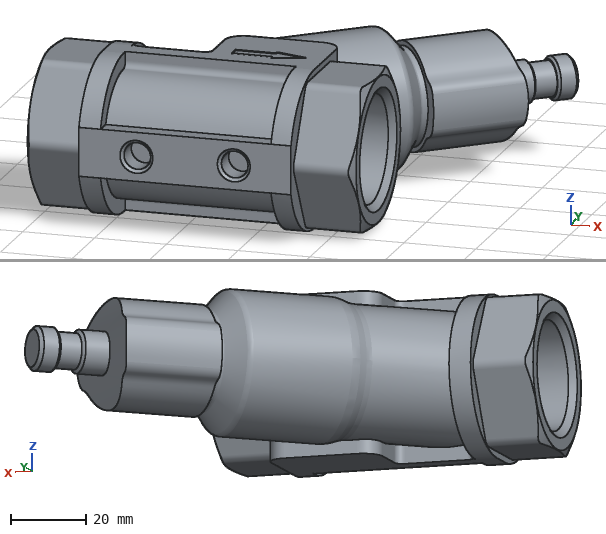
import cadquery as cq
import math


run_length = 91.5
hex_across_flats = 40.5
hex_corner_radius = 3.1
hex_face_radius = 20.1
hex_chamfer_angle = 25
bore_radius = 14.5
socket_radius = 14.9
socket_depth = 16
socket_mouth_radius = 16.8
socket_mouth_depth = 1.8

body_start = 15.9
body_end = 75.0
body_height = 44.0
body_half_height = body_height / 2
lower_centre_y = -4.3
rail_top_y = 3.0
foot_y = -25.3
foot_half_height = 6.8
inlet_flange_width = 6.0
outlet_flange_width = 5.5

recess_start = body_start + inlet_flange_width
recess_end = body_end - outlet_flange_width
recess_wall_y = -2.8
recess_floor_radius = 17.6
recess_fillet = 1.8

plate_start = 43.9
plate_top_y = 20.8
plate_corner_radius = 5.3
plate_root_fillet = 2.2
arrow_tail_x = 49.5
arrow_neck_x = 60.7
arrow_tip_x = 69.4
arrow_y = 5.9
arrow_shaft_half_width = 1.7
arrow_head_half_width = 2.7
arrow_depth = 0.2

hole_centres_x = (32.0, 59.1)
hole_radius = 3.7
hole_mouth_radius = 4.6
hole_depth = 7.4

branch_x = 26.4
branch_angle = 41
branch_root = -6.2
branch_radius = 18.3
bonnet_radius = 19.7
taper_start = 34.5
taper_start_fillet = 5.2
taper_end = 38.7
taper_end_fillet = 7.4
bonnet_end = 69.3
bonnet_edge_fillet = 2.0
neck_start = 74.6
neck_radius = 13.7
neck_root_fillet = 0.7

knob_start = 76.5
knob_end = 104.1
knob_radius = 15.0
wing_radius = 17.4
wing_edge_fillet = 4.0
wing_root_fillet = 6.0
wing_edge_angle = 17
knob_dome_radius = 40.7

stem_radius = 5.9
stem_shoulder = 111
stem_shoulder_chamfer = 0.7
stem_neck_radius = 4.9
stem_head_start = 117.9
stem_head_radius = 6.0
stem_end = 124.1
stem_tip_chamfer = 1.0
stem_head_chamfer = 0.7


def along_x(start, length, sketch):
    """Extrude a YZ outline from start along +X; sketch draws it on the given workplane."""
    return sketch(cq.Workplane("YZ", origin=(start, 0, 0))).extrude(length)


def revolve_about_x(points):
    return cq.Workplane("XY").polyline(points).close().revolve(360, (0, 0, 0), (1, 0, 0))


def hex_run():
    """The two hexagonal ends, each reaching to the inner face of its flange."""
    corner_radius = hex_across_flats / math.sqrt(3)
    prism = (
        cq.Workplane("YZ")
        .polygon(6, 2 * corner_radius)
        .extrude(run_length)
        .edges("|X")
        .fillet(hex_corner_radius)
    )
    chamfer_length = (corner_radius - hex_face_radius) * math.tan(math.radians(hex_chamfer_angle))
    envelope = revolve_about_x([
        (0, 0),
        (0, hex_face_radius),
        (chamfer_length, corner_radius),
        (run_length - chamfer_length, corner_radius),
        (run_length, hex_face_radius),
        (run_length, 0),
    ])
    gap_length = recess_end - recess_start
    gap = cq.Workplane("YZ", origin=(recess_start, 0, 0)).circle(corner_radius).extrude(gap_length)
    return prism.intersect(envelope).cut(gap)


def body_block():
    """Lower half of the body: round sides running into a flat foot."""
    foot_arc_y = lower_centre_y - math.sqrt(body_half_height**2 - foot_half_height**2)
    mid = math.sqrt(0.5) * body_half_height
    return along_x(body_start, body_end - body_start, lambda plane: (
        plane.moveTo(rail_top_y, body_half_height)
        .lineTo(lower_centre_y, body_half_height)
        .threePointArc((lower_centre_y - mid, mid), (foot_arc_y, foot_half_height))
        .lineTo(foot_y, foot_half_height)
        .lineTo(foot_y, -foot_half_height)
        .lineTo(foot_arc_y, -foot_half_height)
        .threePointArc((lower_centre_y - mid, -mid), (lower_centre_y, -body_half_height))
        .lineTo(rail_top_y, -body_half_height)
        .close()
    ))


def inlet_flange():
    """Round upper part of the flange at the inlet end."""
    return along_x(body_start, inlet_flange_width, lambda plane: (
        plane.center(rail_top_y, 0).circle(body_half_height)
    ))


def arrow_plate():
    length = body_end - plate_start
    height = plate_top_y - rail_top_y
    return (
        cq.Workplane("XY", origin=(plate_start, rail_top_y, -body_half_height))
        .rect(length, height, centered=False)
        .extrude(body_height)
        .edges("|Z and >Y")
        .fillet(plate_corner_radius)
    )


def root_fillet(x, direction):
    """Concave corner filler between the rail and a wall at x; direction is the open side."""
    reach = direction * plate_root_fillet
    sag = plate_root_fillet * (1 - math.sqrt(0.5))
    return (
        cq.Workplane("XY", origin=(x, rail_top_y, -body_half_height))
        .lineTo(reach, 0)
        .threePointArc((direction * sag, sag), (0, plate_root_fillet))
        .close()
        .extrude(body_height)
    )


def side_recess():
    """Recess on the +Z side, with a round floor around the bore."""
    outside = body_height
    fillet_y = recess_wall_y - recess_fillet
    fillet_reach = recess_floor_radius + recess_fillet
    fillet_z = math.sqrt(fillet_reach**2 - (fillet_y - lower_centre_y) ** 2)
    tangent_ratio = recess_floor_radius / fillet_reach
    tangent_y = lower_centre_y + (fillet_y - lower_centre_y) * tangent_ratio
    tangent_z = fillet_z * tangent_ratio
    half = math.sqrt(0.5)
    floor_mid = half * recess_floor_radius
    floor_end_y = lower_centre_y - math.sqrt(recess_floor_radius**2 - foot_half_height**2)
    return along_x(recess_start, recess_end - recess_start, lambda plane: (
        plane.moveTo(recess_wall_y, outside)
        .lineTo(recess_wall_y, fillet_z)
        .threePointArc(
            (fillet_y + half * recess_fillet, fillet_z - half * recess_fillet),
            (tangent_y, tangent_z),
        )
        .threePointArc((lower_centre_y - floor_mid, floor_mid), (floor_end_y, foot_half_height))
        .lineTo(-outside, foot_half_height)
        .lineTo(-outside, outside)
        .close()
    ))


def flow_arrow():
    half_outline = [
        (arrow_tail_x, arrow_shaft_half_width),
        (arrow_neck_x, arrow_shaft_half_width),
        (arrow_neck_x, arrow_head_half_width),
    ]
    outline = half_outline + [(arrow_tip_x, 0)] + [(x, -y) for x, y in reversed(half_outline)]
    return (
        cq.Workplane("XY", origin=(0, arrow_y, body_half_height - arrow_depth))
        .polyline(outline)
        .close()
        .extrude(2 * arrow_depth)
    )


def run_bore():
    return revolve_about_x([
        (0, 0),
        (0, socket_mouth_radius),
        (socket_mouth_depth, socket_radius),
        (socket_depth, socket_radius),
        (socket_depth, bore_radius),
        (run_length - socket_depth, bore_radius),
        (run_length - socket_depth, socket_radius),
        (run_length - socket_mouth_depth, socket_radius),
        (run_length, socket_mouth_radius),
        (run_length, 0),
    ])


def mounting_hole(x):
    mouth_depth = hole_mouth_radius - hole_radius
    return (
        cq.Workplane("XY")
        .polyline([
            (0, foot_y),
            (hole_mouth_radius, foot_y),
            (hole_radius, foot_y + mouth_depth),
            (hole_radius, foot_y + hole_depth),
            (0, foot_y + hole_depth),
        ])
        .close()
        .revolve(360, (0, 0, 0), (0, 1, 0))
        .translate((x, 0, 0))
    )


def ring_at(station):
    """Selector for the circular edge at a station along the branch axis."""
    margin = 0.1
    reach = 2 * bonnet_radius
    return cq.selectors.BoxSelector(
        (station - margin, -reach, -reach), (station + margin, reach, reach), boundingbox=True
    )


def branch_pipe():
    """Branch tube, bonnet and neck, drawn with the branch axis along X."""
    pipe = revolve_about_x([
        (branch_root, 0),
        (branch_root, branch_radius),
        (taper_start, branch_radius),
        (taper_end, bonnet_radius),
        (bonnet_end, bonnet_radius),
        (neck_start, neck_radius),
        (knob_start, neck_radius),
        (knob_start, 0),
    ])
    rounded_rings = (
        (taper_start, taper_start_fillet),
        (taper_end, taper_end_fillet),
        (bonnet_end, bonnet_edge_fillet),
        (neck_start, neck_root_fillet),
    )
    for station, fillet in rounded_rings:
        pipe = pipe.edges(ring_at(station)).fillet(fillet)
    return pipe


def polar(radius, degrees):
    angle = math.radians(degrees)
    return (radius * math.cos(angle), radius * math.sin(angle))


def knob():
    """Handwheel with two wings, its end domed across the wings."""
    edge_reach = wing_radius - wing_edge_fillet
    root_reach = knob_radius + wing_root_fillet
    centre_gap = wing_edge_fillet + wing_root_fillet
    spread = math.degrees(math.acos(
        (edge_reach**2 + root_reach**2 - centre_gap**2) / (2 * edge_reach * root_reach)
    ))
    root_angle = wing_edge_angle + spread
    edge_centre = cq.Vector(*polar(edge_reach, wing_edge_angle))
    root_centre = cq.Vector(*polar(root_reach, root_angle))
    across = (root_centre - edge_centre).normalized()
    meeting = edge_centre + across * wing_edge_fillet
    outward = cq.Vector(*polar(1, wing_edge_angle))
    inward = cq.Vector(*polar(-1, root_angle))
    edge_mid = edge_centre + (outward + across).normalized() * wing_edge_fillet
    root_mid = root_centre + (inward - across).normalized() * wing_root_fillet

    def flip(point, side_y, side_z):
        return (side_y * point.x, side_z * point.y)

    edge_end = outward * wing_radius
    root_end = inward * -knob_radius
    outline = cq.Workplane("YZ", origin=(knob_start, 0, 0)).moveTo(*flip(edge_end, 1, -1))
    for side in (1, -1):
        outline = (
            outline.threePointArc((side * wing_radius, 0), flip(edge_end, side, side))
            .threePointArc(flip(edge_mid, side, side), flip(meeting, side, side))
            .threePointArc(flip(root_mid, side, side), flip(root_end, side, side))
            .threePointArc((0, side * knob_radius), flip(root_end, -side, side))
            .threePointArc(flip(root_mid, -side, side), flip(meeting, -side, side))
            .threePointArc(flip(edge_mid, -side, side), flip(edge_end, -side, side))
        )
    prism = outline.close().extrude(knob_end - knob_start)
    dome = (
        cq.Workplane("XZ", origin=(knob_end - knob_dome_radius, 0, 0))
        .circle(knob_dome_radius)
        .extrude(wing_radius, both=True)
    )
    return prism.intersect(dome)


def stem():
    return revolve_about_x([
        (knob_start, 0),
        (knob_start, stem_radius),
        (stem_shoulder, stem_radius),
        (stem_shoulder + stem_shoulder_chamfer, stem_neck_radius),
        (stem_head_start, stem_neck_radius),
        (stem_head_start, stem_head_radius - stem_head_chamfer),
        (stem_head_start + stem_head_chamfer, stem_head_radius),
        (stem_end - stem_tip_chamfer, stem_head_radius),
        (stem_end, stem_head_radius - stem_tip_chamfer),
        (stem_end, 0),
    ])


def branch():
    upright = branch_pipe().union(knob()).union(stem())
    return upright.rotate((0, 0, 0), (0, 0, 1), branch_angle).translate((branch_x, 0, 0))


result = (
    hex_run()
    .union(body_block())
    .union(inlet_flange())
    .union(arrow_plate())
    .union(root_fillet(recess_start, 1))
    .union(root_fillet(plate_start, -1))
    .union(branch())
)
recess = side_recess()
result = result.cut(recess).cut(recess.mirror("XY"))
result = result.cut(flow_arrow()).cut(run_bore())
for hole_x in hole_centres_x:
    result = result.cut(mounting_hole(hole_x))